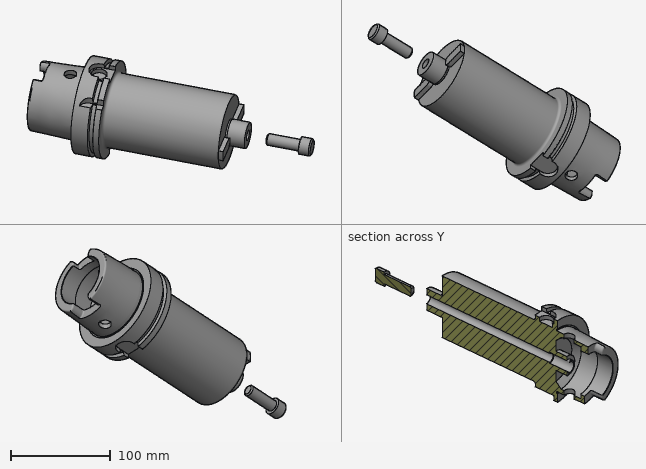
import cadquery as cq
import math

taper_length = 50.0
taper_root_diameter = 75.0
taper_tip_diameter = 71.3
tip_fillet = 1.7
neck_land_width = 2.7
face_groove_depth = 0.8
face_groove_radius = 39.2

flange_diameter = 100.0
flange_width = 29.0
grip_groove_center = 20.0
grip_groove_diameter = 92.0
grip_groove_top_width = 5.6
grip_groove_bottom_width = 4.2

body_diameter = 76.0
body_end = 150.0
body_root_fillet = 2.7
body_end_chamfer = 1.3
body_end_chamfer_depth = 0.3

pilot_diameter = 27.0
pilot_length = 20.0
pilot_chamfer = 1.3
pilot_chamfer_depth = 0.3
neck_diameter = 26.6
neck_length = 1.8

bore_diameter = 53.0
bore_mouth_chamfer = 0.4
bore_length = 20.0
cavity_diameter = 63.0
cavity_floor_diameter = 49.4
cavity_floor_x = 2.0
boss_diameter = 24.0
boss_top = -12.4
nozzle_diameter = 15.3
nozzle_top = -15.8
nozzle_hole_diameter = 12.5
screw_hole_diameter = 10.5
nozzle_hole_end = 10.0

key_slot_width = 20.0
key_slot_flare = 6.0
key_slot_lip_inset = 2.5
key_slot_upper_depth = 10.0
key_slot_lower_depth = 15.0
key_slot_floor_fillet = 1.5

access_hole_diameter = 12.5
access_hole_x = -14.8

flange_slot_width = 20.0
flange_slot_start = 15.0
flange_slot_floor = 44.0
floor_hole_diameter = 16.0
floor_hole_depth = 5.0
corner_notch_offset = 31.8

drive_key_width = 12.0
drive_key_height = 5.0
drive_key_inner = 12.0
drive_key_corner = 5.99

screw_start = 190.0
screw_shank_length = 35.0
screw_shank_diameter = 12.0
screw_tip_chamfer = 1.5
screw_head_diameter = 18.0
screw_head_length = 12.0
screw_head_chamfer = 1.5

flange_radius = flange_diameter / 2
body_radius = body_diameter / 2
taper_tip_radius = taper_tip_diameter / 2
taper_root_radius = taper_root_diameter / 2
pilot_radius = pilot_diameter / 2
pilot_end = body_end + pilot_length


def cylinder_x(diameter, start, end):
    """Cylinder on the X axis between two X positions."""
    return cq.Workplane("YZ", origin=(start, 0, 0)).circle(diameter / 2).extrude(end - start)


def turned_outside():
    """Taper, flange with grip groove, cylindrical body and pilot, as one revolved profile."""
    groove_radius = grip_groove_diameter / 2
    half_top = grip_groove_top_width / 2
    half_bottom = grip_groove_bottom_width / 2
    fillet_end = flange_width + body_root_fillet
    fillet_shift = body_root_fillet * (1 - math.sqrt(0.5))
    profile = (
        cq.Workplane("XY")
        .moveTo(-taper_length, 0)
        .lineTo(-taper_length, taper_tip_radius)
        .lineTo(-neck_land_width, taper_root_radius)
        .lineTo(face_groove_depth, taper_root_radius)
        .lineTo(face_groove_depth, face_groove_radius)
        .lineTo(0, face_groove_radius)
        .lineTo(0, flange_radius)
        .lineTo(grip_groove_center - half_top, flange_radius)
        .lineTo(grip_groove_center - half_bottom, groove_radius)
        .lineTo(grip_groove_center + half_bottom, groove_radius)
        .lineTo(grip_groove_center + half_top, flange_radius)
        .lineTo(flange_width, flange_radius)
        .lineTo(flange_width, body_radius + body_root_fillet)
        .threePointArc((flange_width + fillet_shift, body_radius + fillet_shift), (fillet_end, body_radius))
        .lineTo(body_end - body_end_chamfer, body_radius)
        .lineTo(body_end, body_radius - body_end_chamfer_depth)
        .lineTo(body_end, neck_diameter / 2)
        .lineTo(body_end + neck_length, neck_diameter / 2)
        .lineTo(body_end + neck_length, pilot_radius)
        .lineTo(pilot_end - pilot_chamfer, pilot_radius)
        .lineTo(pilot_end, pilot_radius - pilot_chamfer_depth)
        .lineTo(pilot_end, 0)
        .close()
    )
    return profile.revolve(360, (0, 0, 0), (1, 0, 0))


def taper_bore():
    """Bore and wider cavity inside the taper, with a stepped nozzle standing on a floor with a sloping rim."""
    bore_radius = bore_diameter / 2
    cavity_radius = cavity_diameter / 2
    cavity_start = -taper_length + bore_length
    floor_radius = cavity_floor_diameter / 2
    profile = (
        cq.Workplane("XY")
        .moveTo(-taper_length, 0)
        .lineTo(-taper_length, bore_radius + bore_mouth_chamfer)
        .lineTo(-taper_length + bore_mouth_chamfer, bore_radius)
        .lineTo(cavity_start, bore_radius)
        .lineTo(cavity_start, cavity_radius)
        .lineTo(cavity_floor_x - (cavity_radius - floor_radius), cavity_radius)
        .lineTo(cavity_floor_x, floor_radius)
        .lineTo(cavity_floor_x, 0)
        .close()
    )
    hollow = profile.revolve(360, (0, 0, 0), (1, 0, 0))
    hollow = hollow.cut(cylinder_x(boss_diameter, boss_top, cavity_floor_x))
    return hollow.cut(cylinder_x(nozzle_diameter, nozzle_top, cavity_floor_x))


def tip_key_slot(side, depth):
    """Key slot across the taper tip, flaring outward with round lips; side is +1 (top) or -1 (bottom)."""
    half = key_slot_width / 2
    outer = taper_root_radius
    lip_end = taper_tip_radius - key_slot_lip_inset
    lip_start = lip_end - key_slot_flare
    arc_in = key_slot_flare * (1 - math.sqrt(0.5))
    arc_up = key_slot_flare * math.sqrt(0.5)
    wide = half + key_slot_flare
    profile = (
        cq.Workplane("YZ", origin=(-taper_length, 0, 0))
        .moveTo(-half, 0)
        .lineTo(-half, side * lip_start)
        .threePointArc((-half - arc_in, side * (lip_start + arc_up)), (-wide, side * lip_end))
        .lineTo(-wide, side * outer)
        .lineTo(wide, side * outer)
        .lineTo(wide, side * lip_end)
        .threePointArc((half + arc_in, side * (lip_start + arc_up)), (half, side * lip_start))
        .lineTo(half, 0)
        .close()
    )
    return profile.extrude(depth).faces(">X").edges("not |Y").fillet(key_slot_floor_fillet)


def round_end_slot(center_y, floor_z):
    """Vertical slot with a round end, open at the rear of the flange."""
    height = flange_radius - floor_z
    plane = cq.Workplane("XY", origin=(flange_slot_start, center_y, floor_z))
    length = flange_width - flange_slot_start
    straight = plane.center(length / 2, 0).rect(length, flange_slot_width).extrude(height)
    round_end = (
        cq.Workplane("XY", origin=(flange_slot_start, center_y, floor_z))
        .circle(flange_slot_width / 2)
        .extrude(height)
    )
    return straight.union(round_end)


def drive_key(side):
    """Drive key on the body end face, trimmed to the body diameter; side is the sign of Y."""
    length = body_radius - drive_key_inner
    key = (
        cq.Workplane("XY", origin=(body_end + drive_key_height / 2, side * (drive_key_inner + length / 2), 0))
        .box(drive_key_height, length, drive_key_width)
    )
    key = key.faces(">Y" if side < 0 else "<Y").edges("|X").fillet(drive_key_corner)
    return key.intersect(cylinder_x(body_diameter, body_end, pilot_end))


holder = turned_outside()
holder = holder.cut(tip_key_slot(1, key_slot_upper_depth))
holder = holder.cut(tip_key_slot(-1, key_slot_lower_depth))
holder = holder.faces("<X").edges().fillet(tip_fillet)

holder = holder.cut(taper_bore())
holder = holder.cut(cylinder_x(nozzle_hole_diameter, nozzle_top, nozzle_hole_end))
holder = holder.cut(cylinder_x(screw_hole_diameter, nozzle_hole_end, pilot_end))

for direction in (1, -1):
    access_hole = (
        cq.Workplane("XY", origin=(access_hole_x, 0, direction * nozzle_diameter))
        .circle(access_hole_diameter / 2)
        .extrude(direction * body_radius)
    )
    holder = holder.cut(access_hole)

floor_hole = (
    cq.Workplane("XY", origin=(flange_slot_start, 0, flange_slot_floor))
    .circle(floor_hole_diameter / 2)
    .extrude(-floor_hole_depth)
)
flange_slot = round_end_slot(0, flange_slot_floor)
corner_notch = round_end_slot(-corner_notch_offset - flange_slot_width / 2, corner_notch_offset)
holder = holder.cut(flange_slot).cut(floor_hole).cut(corner_notch)
holder = holder.cut(flange_slot.mirror("XY"))

for side in (1, -1):
    holder = holder.union(drive_key(side))

screw_head_start = screw_start + screw_shank_length
screw_head_end = screw_head_start + screw_head_length
shank = (
    cylinder_x(screw_shank_diameter, screw_start, screw_head_start)
    .faces("<X").chamfer(screw_tip_chamfer)
)
head = (
    cylinder_x(screw_head_diameter, screw_head_start, screw_head_end)
    .faces(">X").chamfer(screw_head_chamfer)
)
screw = shank.union(head)

result = cq.Compound.makeCompound([holder.val(), screw.val()])